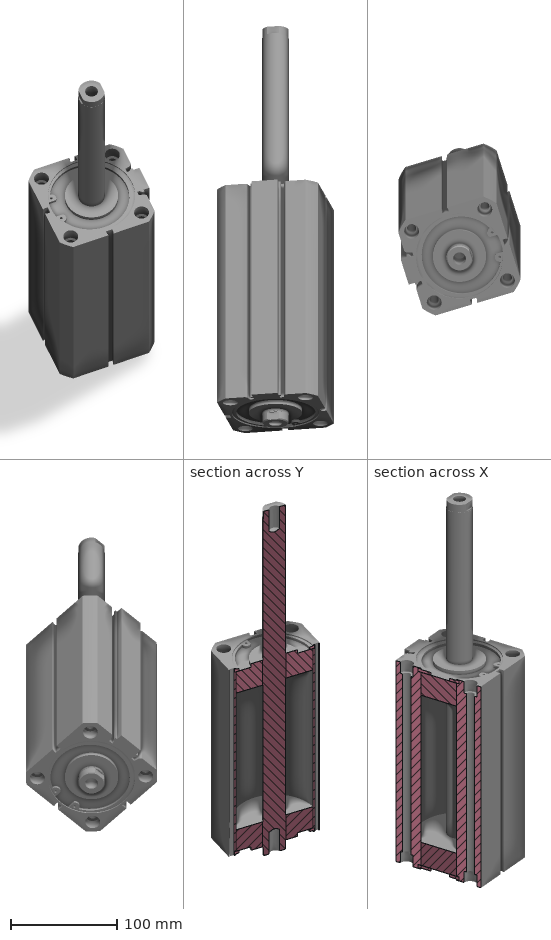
import cadquery as cq
import math


barrel_width = 96.5
barrel_length = 213.5
corner_radius = 61.7
bore_radius = 41.0
slot_mouth_width = 5.4
slot_width = 6.4
slot_lip = 1.3
slot_depth = 5.0
half_width = barrel_width / 2

rail_half_width = 12.4
rail_height = 5.5
lip_half_width = 14.5
lip_top_drop = 0.5
lip_bottom_drop = 2.6
lip_foot_drop = 4.6
groove_depth = 7.0
groove_floor_half_width = 16.3
groove_mouth_half_width = 17.8
groove_edge_half_width = 19.4
groove_edge_drop = 1.6

mount_pitch = 72.0
mount_hole_diameter = 8.6
counterbore_diameter = 14.0
counterbore_depth = 12.0

ring_depth = 1.2
ring_thickness = 2.8
ring_outer_radius = 42.5
ring_inner_radius = 37.3
ring_inner_offset = 1.9
ring_gap_half_width = 8.8
lug_x = 12.3
lug_y = -35.8
lug_radius = 4.7
lug_hole_diameter = 2.5

cover_thickness = 25.0
cover_boss_radius = 25.1
cover_face_depth = ring_depth + ring_thickness

rod_diameter = 25.0
rod_top_reach = 169.5
rod_bottom_reach = 10.5
tip_diameter = 24.8
tip_length = 8.3
flat_length = 7.3
flat_spacing = 22.0
bottom_tip_chamfer = 1.0
rod_hole_diameter = 12.0
rod_hole_depth = 25.0
drill_point_angle = 118.0


def other_end(body):
    """Mirror a body from the upper barrel end to the lower one."""
    return body.mirror("XY", (0, 0, barrel_length / 2))


def make_barrel_blank():
    square = cq.Workplane("XY").rect(barrel_width, barrel_width).extrude(barrel_length)
    round_bar = cq.Workplane("XY").circle(corner_radius).extrude(barrel_length)
    rail = (
        cq.Workplane("XY")
        .center(0, half_width)
        .rect(2 * rail_half_width, 2 * rail_height)
        .extrude(barrel_length)
    )
    return square.intersect(round_bar).union(rail)


def make_sensor_groove():
    """Groove on the +X side of the rail."""
    return (
        cq.Workplane("XY")
        .moveTo(rail_half_width, half_width - groove_depth)
        .lineTo(rail_half_width, half_width - lip_foot_drop)
        .lineTo(lip_half_width, half_width - lip_bottom_drop)
        .lineTo(lip_half_width, half_width - lip_top_drop)
        .lineTo(rail_half_width, half_width - lip_top_drop)
        .lineTo(rail_half_width, half_width)
        .lineTo(groove_edge_half_width, half_width)
        .lineTo(groove_mouth_half_width, half_width - groove_edge_drop)
        .lineTo(groove_floor_half_width, half_width - groove_depth)
        .close()
        .extrude(barrel_length)
    )


def make_face_slot():
    """Slot in the -Y face, wider behind its lips than at the mouth."""
    return (
        cq.Workplane("XY")
        .center(0, -half_width)
        .rect(slot_mouth_width, 2 * slot_depth)
        .extrude(barrel_length)
        .union(
            cq.Workplane("XY")
            .center(0, -half_width + (slot_lip + slot_depth) / 2)
            .rect(slot_width, slot_depth - slot_lip)
            .extrude(barrel_length)
        )
    )


def make_ring_groove():
    return (
        cq.Workplane("XY")
        .workplane(offset=barrel_length - cover_face_depth)
        .circle(ring_outer_radius)
        .extrude(ring_thickness)
    )


def make_barrel():
    barrel = make_barrel_blank()

    groove = make_sensor_groove()
    barrel = barrel.cut(groove).cut(groove.mirror("YZ"))
    for angle in (-90, 0, 90):
        barrel = barrel.cut(make_face_slot().rotate((0, 0, 0), (0, 0, 1), angle))

    bore = cq.Workplane("XY").circle(bore_radius).extrude(barrel_length)
    barrel = barrel.cut(bore).cut(make_ring_groove()).cut(other_end(make_ring_groove()))

    for face in (">Z", "<Z"):
        barrel = (
            barrel.faces(face)
            .workplane(origin=(0, 0, 0))
            .rect(mount_pitch, mount_pitch, forConstruction=True)
            .vertices()
            .cboreHole(mount_hole_diameter, counterbore_diameter, counterbore_depth)
        )
    return barrel


def make_upper_cover():
    cover_top = barrel_length - cover_face_depth
    return (
        cq.Workplane("XY")
        .workplane(offset=cover_top - cover_thickness)
        .circle(bore_radius)
        .extrude(cover_thickness)
        .faces(">Z")
        .workplane()
        .circle(cover_boss_radius)
        .extrude(cover_face_depth)
        .faces(">Z")
        .workplane()
        .hole(rod_diameter)
    )


def make_upper_ring():
    """Open retaining ring with an eyed lug at each end."""
    plane = cq.Workplane("XY").workplane(offset=barrel_length - cover_face_depth)
    lug_places = [(-lug_x, lug_y), (lug_x, lug_y)]

    disc = plane.circle(ring_outer_radius).extrude(ring_thickness)
    opening = plane.center(0, -ring_inner_offset).circle(ring_inner_radius).extrude(ring_thickness)
    lugs = plane.pushPoints(lug_places).circle(lug_radius).extrude(ring_thickness)
    gap = (
        plane.center(0, -ring_outer_radius)
        .rect(2 * ring_gap_half_width, ring_outer_radius)
        .extrude(ring_thickness)
    )
    eyes = plane.pushPoints(lug_places).circle(lug_hole_diameter / 2).extrude(ring_thickness)
    return disc.cut(opening).union(lugs.intersect(disc)).cut(gap).cut(eyes)


def make_tip(start, direction):
    """Flattened rod end, from height `start` along +Z or -Z (direction 1 or -1)."""
    plane = cq.Workplane("XY").workplane(offset=start)
    tip = plane.circle(tip_diameter / 2).extrude(direction * tip_length)
    if direction < 0:
        tip = tip.faces("<Z").chamfer(bottom_tip_chamfer)
    flat_center = start + direction * (tip_length - flat_length / 2)
    waste = cq.Workplane("XY").box(rod_diameter, rod_diameter, flat_length)
    for side in (-1, 1):
        tip = tip.cut(waste.translate((0, side * (flat_spacing + rod_diameter) / 2, flat_center)))
    return tip


def make_rod_hole(end, direction):
    """Drilled hole with a conical bottom, entering from height `end` along +Z or -Z."""
    radius = rod_hole_diameter / 2
    point_length = radius / math.tan(math.radians(drill_point_angle / 2))
    return (
        cq.Workplane("XZ")
        .moveTo(0, end)
        .lineTo(radius, end)
        .lineTo(radius, end + direction * rod_hole_depth)
        .lineTo(0, end + direction * (rod_hole_depth + point_length))
        .close()
        .revolve(360, (0, 0, 0), (0, 1, 0))
    )


def make_rod():
    top = barrel_length + rod_top_reach
    bottom = -rod_bottom_reach
    shank_length = top - bottom - 2 * tip_length
    shank = (
        cq.Workplane("XY")
        .workplane(offset=bottom + tip_length)
        .circle(rod_diameter / 2)
        .extrude(shank_length)
    )
    rod = shank.union(make_tip(top - tip_length, 1)).union(make_tip(bottom + tip_length, -1))
    return rod.cut(make_rod_hole(top, -1)).cut(make_rod_hole(bottom, 1))


barrel = make_barrel()
upper_cover = make_upper_cover()
lower_cover = other_end(upper_cover)
upper_ring = make_upper_ring()
lower_ring = other_end(upper_ring)
rod = make_rod()

result = cq.Compound.makeCompound(
    [
        barrel.val(),
        upper_cover.val(),
        lower_cover.val(),
        upper_ring.val(),
        lower_ring.val(),
        rod.val(),
    ]
)